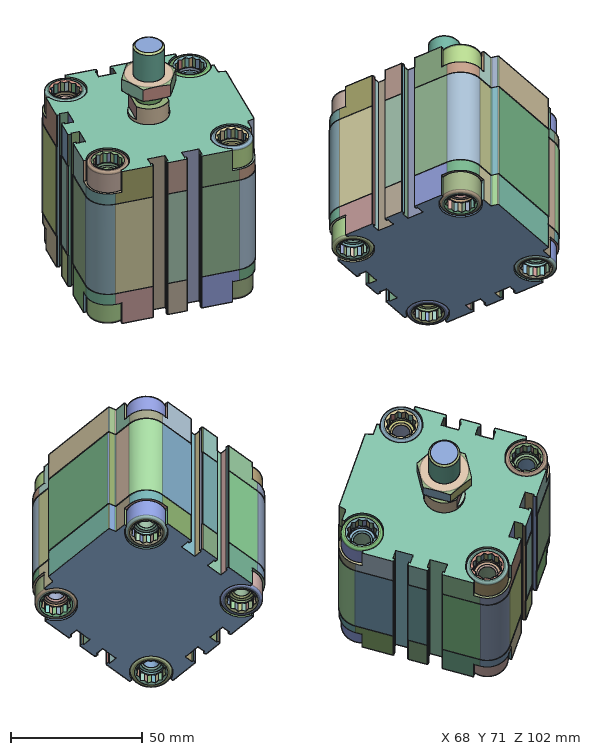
import cadquery as cq
import math

hexagon_sides = 6
hexagon_half_turn = 180 / hexagon_sides
corner_per_flat = 1 / math.cos(math.pi / hexagon_sides)

total_height = 102.0
housing_height = 70.5
cap_height = 14.5
barrel_height = housing_height - 2 * cap_height

width = 68.0
half_width = width / 2
bolt_offset = 25.0
cap_inset_x = 0.1
cap_inset_y = 0.2
ridge_height = 3.0
ridge_base_half = 17.4
ridge_top_half = 16.7
ridge_edge_radius = 0.4

groove_offset = 6.8
groove_mouth_width = 5.5
groove_inner_width = 6.9
groove_depth = 5.0
groove_lip = 1.5
mouth_bevel = 0.3
front_tongue_bevel = 0.5

boss_diameter = 16.0
boss_radius = boss_diameter / 2
pocket_radius = 8.3
boss_edge_radius = 1.0
corner_cut_height = 9.5
corner_cut_start = 22.2
socket_chamfer_diameter = 12.8
socket_across_flats = 10.0
socket_chamfer_depth = 0.6
socket_depth = 4.1
relief_diameter = 10.2
relief_depth = 1.2
seat_cone_diameter = 8.0
bolt_hole_diameter = 6.6

rod_diameter = 16.0
rod_shoulder_z = 77.8
flat_across = 13.1
flat_start_z = 71.8
neck_diameter = 10.5
thread_start_z = 80.2
thread_diameter = 12.0
thread_chamfer = (thread_diameter - neck_diameter) / 2

nut_across_flats = 19.0
nut_bottom_z = 82.8
nut_top_z = 88.8
nut_face_diameter = 18.7
nut_bevel_height = 0.4


def section(x_face, y_face, height):
    """Grooved bar with side faces at +-x_face and +-y_face, rounded corners and a ridge on +Y."""
    block = cq.Workplane("XY").rect(2 * x_face, 2 * y_face).extrude(height)
    block = block.edges("|Z").fillet(x_face - bolt_offset)
    ridge = (
        cq.Workplane("XY")
        .moveTo(-ridge_base_half, 0)
        .lineTo(-ridge_base_half, y_face)
        .lineTo(-ridge_top_half, y_face + ridge_height)
        .lineTo(ridge_top_half, y_face + ridge_height)
        .lineTo(ridge_base_half, y_face)
        .lineTo(ridge_base_half, 0)
        .close()
        .extrude(height)
        .edges("|Z and >Y")
        .fillet(ridge_edge_radius)
    )
    bar = block.union(ridge)
    for x in (-ridge_base_half, ridge_base_half):
        bar = bar.edges(cq.NearestToPointSelector((x, y_face, height / 2))).fillet(ridge_edge_radius)
    bar = bar.cut(groove_pair(y_face, front_tongue_bevel, height))
    for angle in (90, -90):
        side_grooves = groove_pair(x_face, mouth_bevel, height)
        bar = bar.cut(side_grooves.rotate((0, 0, 0), (0, 0, 1), angle))
    return bar


def groove_pair(face, tongue_bevel, height):
    """Two mirrored T grooves with bevelled mouths, open toward -Y at a side face y = -face."""
    mouth_near = groove_offset - groove_mouth_width / 2
    mouth_far = groove_offset + groove_mouth_width / 2
    inner_near = groove_offset - groove_inner_width / 2
    inner_far = groove_offset + groove_inner_width / 2
    lip_y = -half_width + groove_lip
    floor_y = -half_width + groove_depth
    groove = (
        cq.Workplane("XY")
        .moveTo(mouth_near - tongue_bevel, -face)
        .lineTo(mouth_near, -face + mouth_bevel)
        .lineTo(mouth_near, lip_y)
        .lineTo(inner_near, lip_y)
        .lineTo(inner_near, floor_y)
        .lineTo(inner_far, floor_y)
        .lineTo(inner_far, lip_y)
        .lineTo(mouth_far, lip_y)
        .lineTo(mouth_far, -face + mouth_bevel)
        .lineTo(mouth_far + mouth_bevel, -face)
        .close()
        .extrude(height)
    )
    return groove.union(groove.mirror("YZ"))


def corner_relief(x_side, y_side):
    """Material removed around a top corner so that a round boss with a rounded rim is left."""
    x = x_side * bolt_offset
    y = y_side * bolt_offset
    bottom = housing_height - corner_cut_height
    block_size = 2 * (half_width - corner_cut_start)
    corner = (
        cq.Workplane("XY", origin=(x_side * half_width, y_side * half_width, bottom))
        .rect(block_size, block_size)
        .extrude(corner_cut_height)
    )
    pocket = cq.Workplane("XY", origin=(x, y, bottom)).circle(pocket_radius).extrude(corner_cut_height)
    boss = cq.Workplane("XY", origin=(x, y, bottom)).circle(boss_radius).extrude(corner_cut_height)
    boss = boss.faces(">Z").edges().fillet(boss_edge_radius)
    return corner.union(pocket).cut(boss)


def socket(x, y):
    """Chamfered 12-point socket, a round bore below it and a conical seat down to the bolt hole."""
    top = housing_height
    socket_floor = top - socket_chamfer_depth - socket_depth
    floor = socket_floor - relief_depth
    corner_diameter = socket_across_flats * corner_per_flat
    recess = cq.Workplane("XY", origin=(x, y, socket_floor)).polygon(hexagon_sides, corner_diameter)
    recess = recess.extrude(top - socket_floor)
    recess = recess.union(recess.rotate((x, y, 0), (x, y, 1), hexagon_half_turn))
    chamfer = (
        cq.Workplane("XY", origin=(x, y, top))
        .circle(socket_chamfer_diameter / 2)
        .workplane(offset=-socket_chamfer_depth)
        .circle(socket_across_flats / 2)
        .loft()
    )
    relief = cq.Workplane("XY", origin=(x, y, floor)).circle(relief_diameter / 2)
    relief = relief.extrude(relief_depth)
    seat_depth = (seat_cone_diameter - bolt_hole_diameter) / 2
    seat = (
        cq.Workplane("XY", origin=(x, y, floor))
        .circle(seat_cone_diameter / 2)
        .workplane(offset=-seat_depth)
        .circle(bolt_hole_diameter / 2)
        .loft()
    )
    return recess.union(chamfer).union(relief).union(seat)


def mirrored_to_bottom(cutter):
    """The same cutter for the lower end of the housing."""
    return cutter.mirror("XY", (0, 0, housing_height / 2))


def make_housing():
    """Barrel and its two end caps as one solid, with grooves, corner bosses and bolt holes."""
    cap = section(half_width - cap_inset_x, half_width - cap_inset_y, cap_height)
    barrel = section(half_width, half_width, barrel_height).translate((0, 0, cap_height))
    top_cap = cap.translate((0, 0, cap_height + barrel_height))
    body = barrel.union(cap).union(top_cap)
    for x_side in (-1, 1):
        for y_side in (-1, 1):
            x = x_side * bolt_offset
            y = y_side * bolt_offset
            relief = corner_relief(x_side, y_side)
            recess = socket(x, y)
            hole = cq.Workplane("XY", origin=(x, y, 0)).circle(bolt_hole_diameter / 2)
            body = body.cut(relief).cut(mirrored_to_bottom(relief))
            body = body.cut(recess).cut(mirrored_to_bottom(recess))
            body = body.cut(hole.extrude(housing_height))
    return body


def make_rod():
    """Piston rod standing on the housing: wrench flats, neck and threaded end."""
    base = cq.Workplane("XY", origin=(0, 0, housing_height)).circle(rod_diameter / 2)
    base = base.extrude(rod_shoulder_z - housing_height)
    flats = cq.Workplane("XY", origin=(0, 0, flat_start_z)).rect(2 * rod_diameter, 2 * rod_diameter)
    flats = flats.rect(2 * rod_diameter, flat_across).extrude(rod_shoulder_z - flat_start_z)
    neck = cq.Workplane("XY", origin=(0, 0, rod_shoulder_z)).circle(neck_diameter / 2)
    neck = neck.extrude(thread_start_z - rod_shoulder_z)
    thread = cq.Workplane("XY", origin=(0, 0, thread_start_z)).circle(thread_diameter / 2)
    thread = thread.extrude(total_height - thread_start_z)
    thread = thread.faces("<Z or >Z").edges().chamfer(thread_chamfer)
    return base.cut(flats).union(neck).union(thread)


def make_nut():
    """Hexagon nut on the thread, corners bevelled on both faces."""
    height = nut_top_z - nut_bottom_z
    corner_diameter = nut_across_flats * corner_per_flat
    hexagon = cq.Workplane("XY").polygon(hexagon_sides, corner_diameter).extrude(height)
    hexagon = hexagon.rotate((0, 0, 0), (0, 0, 1), hexagon_half_turn)
    bevel_width = corner_diameter / 2 - nut_face_diameter / 2
    envelope = (
        cq.Workplane("XY")
        .circle(corner_diameter / 2)
        .extrude(height)
        .faces("<Z or >Z")
        .edges()
        .chamfer(nut_bevel_height, bevel_width)
    )
    bore = cq.Workplane("XY").circle(thread_diameter / 2).extrude(height)
    return hexagon.intersect(envelope).cut(bore).translate((0, 0, nut_bottom_z))


housing = make_housing()
rod = make_rod()
nut = make_nut()
result = cq.Compound.makeCompound([housing.val(), rod.val(), nut.val()])